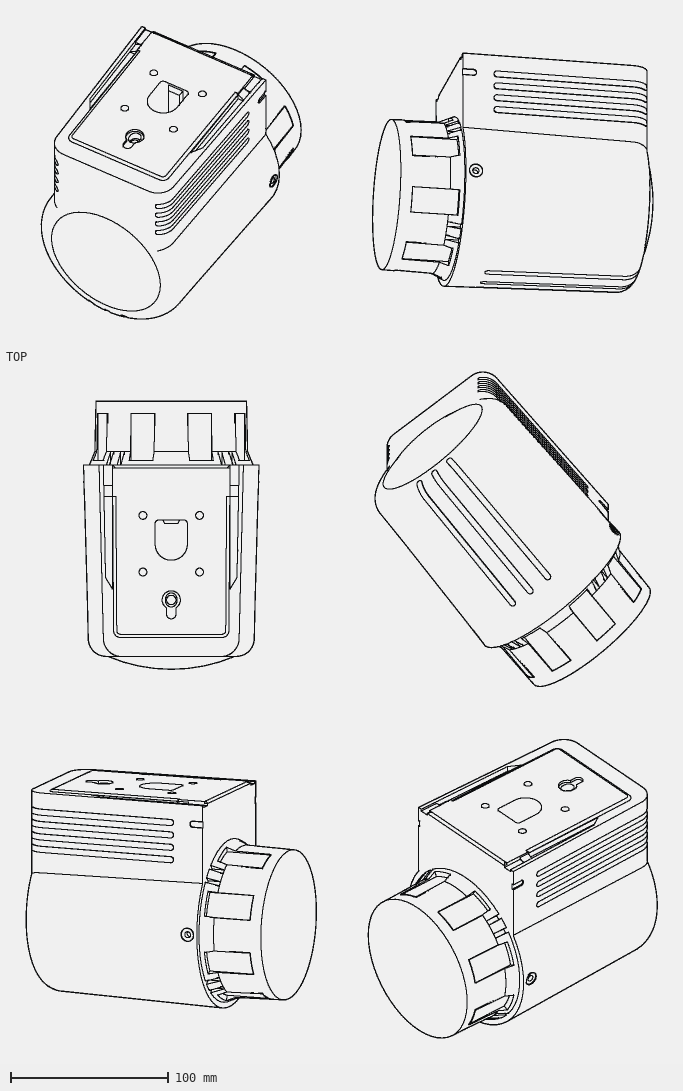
import cadquery as cq
import math


front_y = -121.7
corner_start_y = -110.1
corner_depth = corner_start_y - front_y
body_rear_radius = 56.0
body_front_radius = 52.9
face_radius = body_front_radius - corner_depth
housing_rear_half = 45.9
housing_front_half = 43.1
face_half = housing_front_half - corner_depth
housing_top = 82.2

dome_radius = 40.2
dome_height = 8.2

collar_length = 40.5
collar_end_radius = 47.9
collar_neck_radius = 48.6
flare_length = 8.5
flare_radius = 52.2
panel_count = 8
panel_width = 16.2
panel_start = 2.7
panel_end = 32.7
panel_radius = 47.5
slit_width = 3.0
slit_offset_angle = 5.5
slit_diagonals = (45, 135, 225, 315)

plate_height = 1.2
plate_rear_half = 37.3
plate_front_half = 36.7
plate_front_y = -109.6
plate_corner = 4.5
plate_bevel = 2.0
square_edge_length = 20.1
plate_top = housing_top + plate_height

channel_depth = 3.8
ledge_depth = 1.4
ledge_length = 13.0
channel_side_y = -71.5
channel_end_y = -79.0
channel_rear_x = 43.1
channel_front_x = 41.8

screw_diameter = 5.0
screw_pitch = 36.0
screw_rear_y = -32.0
core_radius = 51.0 / 2
window_half = 10.2
window_rear_y = -35.0
window_arc_y = -50.3
window_corner = 2.2
latch_root_half = 5.3
latch_tip_half = 4.1
latch_length = 2.4
latch_drop = 1.7
latch_fall = 2.4
keyhole_y = -85.8
keyhole_head = 11.6
keyhole_tail = 6.0
keyhole_tail_y = -94.8
keyhole_depth = 1.7
keyhole_pocket_width = 7.2
keyhole_pocket_length = 8.9
keyhole_pocket_depth = 6.8
keyhole_bore = 6.0
keyhole_bore_depth = 13.6

groove_radius = 1.96
groove_inset = 0.2
groove_rear_y = -22.2
side_groove_end = 37.7
side_groove_top = 69.7
side_groove_pitch = 8.0
side_groove_count = 4
bottom_groove_end = 47.2
bottom_groove_angle = 15
notch_length = 8.9
notch_depth = 1.0
side_screw_y = -6.6
side_screw_head = 8.5
side_screw_head_depth = 1.0
side_screw_hole = 4.0
side_screw_hole_depth = 5.1


def mirrored(shape):
    """The shape together with its twin on the other side of the YZ plane."""
    return shape.union(shape.mirror("YZ"))


def corner_point(front_half, angle):
    """Point (offset, y) on the rounded front corner, angle measured from the side."""
    turn = math.radians(angle)
    return (
        front_half - corner_depth + corner_depth * math.cos(turn),
        corner_start_y - corner_depth * math.sin(turn),
    )


def make_body():
    return (
        cq.Workplane("XY")
        .lineTo(body_rear_radius, 0)
        .lineTo(body_front_radius, corner_start_y)
        .threePointArc(corner_point(body_front_radius, 45), (face_radius, front_y))
        .lineTo(0, front_y)
        .close()
        .revolve(360, (0, 0, 0), (0, 1, 0))
    )


def make_housing():
    right_middle = corner_point(housing_front_half, 45)
    return (
        cq.Workplane("XY")
        .moveTo(-housing_rear_half, 0)
        .lineTo(housing_rear_half, 0)
        .lineTo(housing_front_half, corner_start_y)
        .threePointArc(right_middle, (face_half, front_y))
        .lineTo(-face_half, front_y)
        .threePointArc((-right_middle[0], right_middle[1]), (-housing_front_half, corner_start_y))
        .close()
        .extrude(housing_top)
    )


def make_dome():
    sphere_radius = (dome_radius**2 + dome_height**2) / (2 * dome_height)
    tip_y = front_y - dome_height
    half_angle = math.asin(dome_radius / sphere_radius) / 2
    middle = (
        sphere_radius * math.sin(half_angle),
        tip_y + sphere_radius * (1 - math.cos(half_angle)),
    )
    return (
        cq.Workplane("XY")
        .moveTo(0, tip_y)
        .threePointArc(middle, (dome_radius, front_y))
        .lineTo(dome_radius, corner_start_y)
        .lineTo(0, corner_start_y)
        .close()
        .revolve(360, (0, 0, 0), (0, 1, 0))
    )


def make_collar():
    collar = (
        cq.Workplane("XY")
        .lineTo(flare_radius, 0)
        .lineTo(collar_neck_radius, flare_length)
        .lineTo(collar_end_radius, collar_length)
        .lineTo(0, collar_length)
        .close()
        .revolve(360, (0, 0, 0), (0, 1, 0))
    )
    panel_length = panel_end - panel_start
    panel_core = cq.Workplane("XZ").circle(panel_radius).extrude(-collar_length)
    panel = (
        cq.Workplane("XY")
        .box(panel_width, panel_length, flare_radius, centered=(True, False, False))
        .translate((0, panel_start, panel_radius / 2))
        .cut(panel_core)
    )
    step = 360 / panel_count
    for index in range(panel_count):
        collar = collar.cut(panel.rotate((0, 0, 0), (0, 1, 0), (index + 0.5) * step))

    slit = (
        cq.Workplane("XY")
        .box(slit_width, flare_length, flare_radius, centered=(True, False, False))
        .translate((0, 0, collar_neck_radius))
    )
    for diagonal in slit_diagonals:
        for offset in (-slit_offset_angle, slit_offset_angle):
            collar = collar.cut(slit.rotate((0, 0, 0), (0, 1, 0), diagonal + offset))
    return collar


def make_plate():
    arc_centre_x = plate_front_half - plate_corner
    arc_centre_y = plate_front_y + plate_corner
    diagonal = plate_corner * math.sqrt(0.5)
    bevel_angle = math.degrees(math.atan(plate_bevel / plate_height))
    bevelled = (
        cq.Workplane("XY")
        .workplane(offset=housing_top)
        .moveTo(-plate_rear_half, 0)
        .lineTo(plate_rear_half, 0)
        .lineTo(plate_front_half, arc_centre_y)
        .threePointArc(
            (arc_centre_x + diagonal, arc_centre_y - diagonal),
            (arc_centre_x, plate_front_y),
        )
        .lineTo(-arc_centre_x, plate_front_y)
        .threePointArc(
            (-arc_centre_x - diagonal, arc_centre_y - diagonal),
            (-plate_front_half, arc_centre_y),
        )
        .close()
        .extrude(plate_height, taper=bevel_angle)
    )
    square_edges = (
        cq.Workplane("XY")
        .box(
            2 * plate_rear_half,
            square_edge_length - plate_bevel,
            plate_height,
            centered=(True, False, False),
        )
        .translate((0, -square_edge_length, housing_top))
    )
    return bevelled.union(square_edges)


def make_channels():
    """Rail channels with a raised ledge at the rear and a ramp that falls outwards."""
    outline = (
        cq.Workplane("XY")
        .workplane(offset=housing_top - channel_depth)
        .moveTo(plate_rear_half, 0)
        .lineTo(channel_rear_x, 0)
        .lineTo(channel_front_x, channel_side_y)
        .lineTo(plate_rear_half, channel_end_y)
        .close()
        .extrude(channel_depth)
    )
    ledge = (
        cq.Workplane("XY")
        .box(housing_rear_half, ledge_length, channel_depth - ledge_depth, centered=False)
        .translate((0, -ledge_length, housing_top - channel_depth))
    )
    ramp = (
        cq.Workplane("XZ")
        .moveTo(plate_rear_half, housing_top)
        .lineTo(channel_rear_x, housing_top - channel_depth)
        .lineTo(plate_rear_half, housing_top - channel_depth)
        .close()
        .extrude(square_edge_length - ledge_length)
        .translate((0, -ledge_length, 0))
    )
    return mirrored(outline.cut(ledge).cut(ramp))


def make_deep_openings():
    """Four screw holes and the arched window, all ending on the round core."""
    holes = (
        cq.Workplane("XY")
        .rarray(screw_pitch, screw_pitch, 2, 2)
        .circle(screw_diameter / 2)
        .extrude(plate_top)
        .translate((0, screw_rear_y - screw_pitch / 2, 0))
    )
    window = (
        cq.Workplane("XY")
        .moveTo(-window_half, window_arc_y)
        .lineTo(-window_half, window_rear_y)
        .lineTo(window_half, window_rear_y)
        .lineTo(window_half, window_arc_y)
        .threePointArc((0, window_arc_y - window_half), (-window_half, window_arc_y))
        .close()
        .extrude(plate_top)
        .edges("|Z and >Y")
        .fillet(window_corner)
    )
    latch_plan = (
        cq.Workplane("XY")
        .moveTo(-latch_root_half, window_rear_y)
        .lineTo(latch_root_half, window_rear_y)
        .lineTo(latch_tip_half, window_rear_y - latch_length)
        .lineTo(-latch_tip_half, window_rear_y - latch_length)
        .close()
        .extrude(plate_top)
    )
    latch_profile = (
        cq.Workplane("YZ")
        .moveTo(window_rear_y, plate_top - latch_drop)
        .lineTo(window_rear_y - latch_length, plate_top - latch_drop - latch_fall)
        .lineTo(window_rear_y - latch_length, 0)
        .lineTo(window_rear_y, 0)
        .close()
        .extrude(latch_root_half, both=True)
    )
    latch = latch_plan.intersect(latch_profile)
    core = cq.Workplane("XZ").circle(core_radius).extrude(-front_y)
    return holes.union(window.cut(latch)).cut(core)


def make_keyhole():
    """Shallow keyhole with an oval pocket and a round bore sunk in its head."""

    def sunk_at(y, depth):
        return cq.Workplane("XY").workplane(offset=plate_top - depth).center(0, y)

    tail_reach = keyhole_y - keyhole_tail_y
    head = sunk_at(keyhole_y, keyhole_depth).circle(keyhole_head / 2).extrude(keyhole_depth)
    tail = (
        sunk_at(keyhole_y - tail_reach / 2, keyhole_depth)
        .slot2D(tail_reach + keyhole_tail, keyhole_tail, 90)
        .extrude(keyhole_depth)
    )
    pocket = (
        sunk_at(keyhole_y, keyhole_pocket_depth)
        .slot2D(keyhole_pocket_length, keyhole_pocket_width, 90)
        .extrude(keyhole_pocket_depth)
    )
    bore = (
        sunk_at(keyhole_y, keyhole_bore_depth)
        .circle(keyhole_bore / 2)
        .extrude(keyhole_bore_depth)
    )
    return head.union(tail).union(pocket).union(bore)


def make_groove(rear_half, front_half, end_offset):
    """Round groove in the XY plane that follows a wall and turns around its front corner."""
    rear_half = rear_half - groove_inset
    front_half = front_half - groove_inset
    slope = (rear_half - front_half) / -corner_start_y
    start = (rear_half + slope * groove_rear_y, groove_rear_y)
    end_angle = math.degrees(math.acos((end_offset - front_half + corner_depth) / corner_depth))
    end = corner_point(front_half, end_angle)
    corner = (front_half, corner_start_y)
    run = cq.Vector(corner[0] - start[0], corner[1] - start[1], 0)
    groove = cq.Workplane(cq.Solid.makeCylinder(groove_radius, run.Length, cq.Vector(*start, 0), run))
    bend = (
        cq.Workplane("XZ", origin=(*corner, 0))
        .circle(groove_radius)
        .revolve(end_angle, (-corner_depth, 1.7, 0), (-corner_depth, 0, 0))
    )
    groove = groove.union(bend)
    for x, y in (start, corner, end):
        groove = groove.union(cq.Workplane("XY").sphere(groove_radius).translate((x, y, 0)))
    return groove


def cut_grooves(part):
    side_groove = mirrored(make_groove(housing_rear_half, housing_front_half, side_groove_end))
    for index in range(side_groove_count):
        part = part.cut(side_groove.translate((0, 0, side_groove_top - index * side_groove_pitch)))

    bottom_groove = make_groove(body_rear_radius, body_front_radius, bottom_groove_end)
    for offset in (-bottom_groove_angle, 0, bottom_groove_angle):
        part = part.cut(bottom_groove.rotate((0, 0, 0), (0, 1, 0), 90 + offset))
    return part


def make_side_notches():
    """Round-ended notches that run out through the rear edge of the housing sides."""
    notch = (
        cq.Workplane("YZ")
        .workplane(offset=housing_rear_half - notch_depth)
        .center(0, side_groove_top)
        .slot2D(2 * notch_length, 2 * groove_radius)
        .extrude(2 * notch_depth)
    )
    return mirrored(notch)


def make_side_screws():
    side = cq.Workplane("YZ").center(side_screw_y, 0)
    head = (
        side.workplane(offset=body_rear_radius - side_screw_head_depth)
        .circle(side_screw_head / 2)
        .extrude(side_screw_head_depth)
    )
    hole = (
        side.workplane(offset=body_rear_radius - side_screw_hole_depth)
        .circle(side_screw_hole / 2)
        .extrude(side_screw_hole_depth)
    )
    return mirrored(head.union(hole))


part = (
    make_body()
    .union(make_housing())
    .union(make_dome())
    .union(make_collar())
    .union(make_plate())
    .cut(make_channels())
    .cut(make_deep_openings())
    .cut(make_keyhole())
    .cut(make_side_notches())
    .cut(make_side_screws())
)
result = cut_grooves(part)